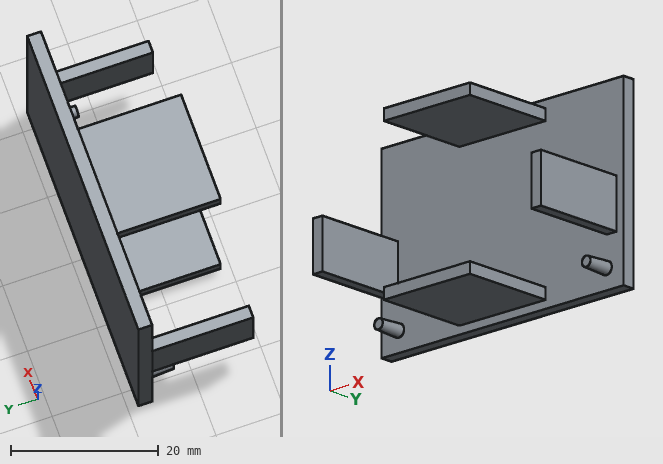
import cadquery as cq

plate_width = 45.0
plate_height = 30.0
plate_thickness = 2.0

tab_length = 15.0
tab_thickness = 1.8
tab_edge_gap = 1.3
long_tab_width = 16.0
short_tab_width = 8.0
short_tab_drop = 3.0

pin_length = 4.0
pin_base_diameter = 2.0
pin_tip_diameter = 1.6
pin_side_inset = 3.2
pin_bottom_inset = 3.2

tab_x = plate_width / 2 - tab_edge_gap - tab_thickness / 2
tab_z = plate_height / 2 - tab_edge_gap - tab_thickness / 2
pin_x = plate_width / 2 - pin_side_inset
pin_z = pin_bottom_inset - plate_height / 2


def make_plate():
    plate = cq.Workplane("XY").box(plate_width, plate_thickness, plate_height)
    return plate.translate((0, plate_thickness / 2, 0))


def make_tab(size_x, size_z, x, z):
    """Rectangular tab running from the plate's front face toward -Y."""
    tab = cq.Workplane("XY").box(size_x, tab_length, size_z)
    return tab.translate((x, -tab_length / 2, z))


def make_pin(x):
    """Pin that narrows from the plate's front face to its tip."""
    pin = cq.Solid.makeCone(
        pin_base_diameter / 2,
        pin_tip_diameter / 2,
        pin_length,
        pnt=cq.Vector(x, 0, pin_z),
        dir=cq.Vector(0, -1, 0),
    )
    return cq.Workplane(pin)


result = make_plate()
for side in (-1, 1):
    result = result.union(make_tab(long_tab_width, tab_thickness, 0, side * tab_z))
    result = result.union(make_tab(tab_thickness, short_tab_width, side * tab_x, -short_tab_drop))
    result = result.union(make_pin(side * pin_x))